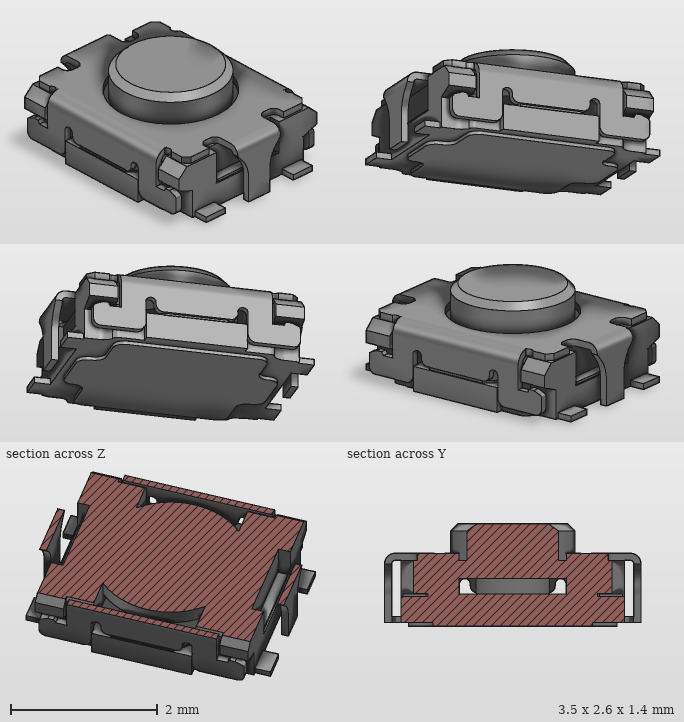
import cadquery as cq
import math


length = 3.5
width = 2.6
height = 1.4
half_length = length / 2
half_width = width / 2
base_plate_thickness = 0.05
body_bottom = base_plate_thickness
cover_top = 1.0
sheet = 0.1
cover_bottom = cover_top - sheet

body_half_x = 1.525
body_end_half_y = 1.045
body_mid_half_y = 1.19
body_mid_half_x = 1.073
body_neck = (1.15, 1.12)
body_step_x = 1.314
body_top_chamfer = 0.09
floor_z = 0.41
channel_half_x = 0.73
block_half_x = 0.715
pocket_half_y = 0.59
pocket_depth = 0.17

lug_inner_x = 1.12
lug_top_y = 1.148
lug_upper_z = 0.758
lug_lower_z = 0.578
lug_root_z = 0.478

film_thickness = 0.035
film_half_x = 1.5
film_half_y = 0.549
film_nose_half_x = 0.45
film_nose_half_y = 1.28

panel_half_x = 1.09
base_half_y = 1.097
base_half_x = 1.425
ear_half_y = 0.44
base_radius = 0.155

terminal_inner_y = 0.64
terminal_outer_y = 1.0
terminal_thickness = 0.085

cover_half_x = 1.495
cover_half_y = 1.137
cover_corner = 0.09
notch_outer_y = 0.702
notch_depth = 0.19
notch_radius = 0.11
cover_hole_diameter = 1.85

side_bend_radius = 0.2
flange_half_x = 1.073
relief_outer_x = 1.206
relief_radius = 0.066
wing_half_x = 1.47
wing_top = 0.455
wing_bottom = 0.154
wing_corner_radius = 0.1
wing_peak_z = 0.504
wing_peak_inner_x = 1.26
wing_peak_outer_x = 1.34
wing_heel_x = 1.23
wing_shoulder = (1.43, 0.467)
wing_straight_top = 0.42
window_half_x = 0.725
foot_radius = 0.115
tongue_radius = 0.1
slot_width = 0.145
slot_top = 0.65

end_bend_radius = 0.15
tab_top_half_y = 0.404
tab_half_y = 0.2
tab_straight_top = 0.43
tab_taper_end = (0.312, 0.746)

button_diameter = 1.7
button_chamfer = 0.1
button_flange_diameter = 2.1
plunger_diameter = 1.0


def block(x0, x1, y0, y1, z0, z1):
    """Axis-aligned box between two opposite corners."""
    return cq.Workplane("XY").box(x1 - x0, y1 - y0, z1 - z0, centered=False).translate((x0, y0, z0))


def centred_block(half_x, half_y, z0, z1):
    """Box centred on the Z axis."""
    return block(-half_x, half_x, -half_y, half_y, z0, z1)


def both_x(shape):
    return shape.union(shape.mirror("YZ"))


def both_y(shape):
    return shape.union(shape.mirror("XZ"))


def four_corners(shape):
    return both_y(both_x(shape))


def arc_middle(start, end, start_direction):
    """Middle point of the arc from start to end that leaves along an axis ("x" or "y")."""
    dx = end[0] - start[0]
    dy = end[1] - start[1]
    along, across = (dx, dy) if start_direction == "x" else (dy, dx)
    radius = (along**2 + across**2) / (2 * abs(across))
    half_angle = math.atan2(abs(across), abs(along))
    mid_along = math.copysign(radius * math.sin(half_angle), along)
    mid_across = math.copysign(radius * (1 - math.cos(half_angle)), across)
    if start_direction == "x":
        return (start[0] + mid_along, start[1] + mid_across)
    return (start[0] + mid_across, start[1] + mid_along)


def s_curve(sketch, start, neck, end, direction):
    """Two arcs through neck; both outer ends run along the given axis."""
    sketch = sketch.threePointArc(arc_middle(start, neck, direction), neck)
    return sketch.threePointArc(arc_middle(end, neck, direction), end)


def quarter_outline(sketch, z0, z1):
    """Close a first-quadrant outline that began at (0, 0) and extrude it to all four quadrants."""
    quarter = sketch.close().extrude(z1 - z0).translate((0, 0, z0))
    return four_corners(quarter)


def extrude_along_x(profile_yz, x0, x1):
    return cq.Workplane("YZ").polyline(profile_yz).close().extrude(x1 - x0).translate((x0, 0, 0))


def make_base_plate():
    panel = centred_block(panel_half_x, base_half_y, 0, base_plate_thickness)
    panel = panel.edges("|Z").fillet(base_radius)
    ears = centred_block(base_half_x, ear_half_y, 0, base_plate_thickness)
    ears = ears.edges("|Z").fillet(base_radius)
    fillers = four_corners(
        block(
            panel_half_x, panel_half_x + base_radius,
            ear_half_y, ear_half_y + base_radius,
            0, base_plate_thickness,
        )
    )
    hollow = cq.Workplane("XY").circle(base_radius).extrude(base_plate_thickness)
    hollow = hollow.translate((panel_half_x + base_radius, ear_half_y + base_radius, 0))
    return panel.union(ears).union(fillers.cut(four_corners(hollow)))


def make_lugs():
    profile = [
        (body_end_half_y, cover_bottom),
        (lug_top_y, cover_bottom),
        (half_width, lug_upper_z),
        (half_width, lug_lower_z),
        (body_end_half_y, lug_root_z),
    ]
    return four_corners(extrude_along_x(profile, lug_inner_x, body_half_x))


def make_lug_webs():
    """Short webs that join the lugs to the wide middle of the body, with the same underside slope."""
    underside_slope = (lug_lower_z - lug_root_z) / (half_width - body_end_half_y)
    web_bottom = lug_root_z + underside_slope * (body_mid_half_y - body_end_half_y)
    profile = [
        (body_end_half_y, cover_bottom),
        (body_mid_half_y - body_top_chamfer, cover_bottom),
        (body_mid_half_y, cover_bottom - body_top_chamfer),
        (body_mid_half_y, web_bottom),
        (body_end_half_y, lug_root_z),
    ]
    return four_corners(extrude_along_x(profile, body_mid_half_x, lug_inner_x))


def make_body():
    outline = cq.Workplane("XY").lineTo(body_half_x, 0).lineTo(body_half_x, body_end_half_y)
    step_start = (body_step_x, body_end_half_y)
    step_end = (body_mid_half_x, body_mid_half_y)
    outline = s_curve(outline.lineTo(*step_start), step_start, body_neck, step_end, "x")
    outline = outline.lineTo(0, body_mid_half_y)
    body = quarter_outline(outline, body_bottom, cover_bottom)

    slope = [
        (body_mid_half_y - body_top_chamfer, cover_bottom),
        (body_mid_half_y, cover_bottom),
        (body_mid_half_y, cover_bottom - body_top_chamfer),
    ]
    body = body.cut(both_y(extrude_along_x(slope, -body_half_x, body_half_x)))
    body = body.union(make_lugs()).union(make_lug_webs())

    body = body.cut(centred_block(channel_half_x, half_width, floor_z, cover_bottom))
    pocket = block(
        body_half_x - pocket_depth, body_half_x, -pocket_half_y, pocket_half_y, floor_z, cover_bottom
    )
    body = body.cut(both_x(pocket))

    slit_top = floor_z + film_thickness
    body = body.cut(centred_block(film_half_x, pocket_half_y, floor_z, slit_top))

    return body.union(centred_block(block_half_x, half_width, body_bottom, floor_z))


def make_film():
    film_top = floor_z + film_thickness
    strip = centred_block(film_half_x, film_half_y, floor_z, film_top)
    slope_start_x = film_nose_half_x + film_nose_half_y - film_half_y
    nose = (
        cq.Workplane("XY")
        .lineTo(slope_start_x, 0)
        .lineTo(slope_start_x, film_half_y)
        .lineTo(film_nose_half_x, film_nose_half_y)
        .lineTo(0, film_nose_half_y)
    )
    return strip.union(quarter_outline(nose, floor_z, film_top))


def make_terminals():
    terminal = block(
        body_half_x, half_length, terminal_inner_y, terminal_outer_y,
        body_bottom, body_bottom + terminal_thickness,
    )
    return four_corners(terminal)


def make_bend(plane, outer_radius, half_span, edge):
    """Quarter-round bend whose outer face ends at the given distance from the Z axis."""
    centre_u = edge - outer_radius
    centre_z = cover_top - outer_radius
    inner_radius = outer_radius - sheet
    diagonal = math.sqrt(0.5)
    return (
        cq.Workplane(plane)
        .moveTo(centre_u, cover_top)
        .threePointArc(
            (centre_u + outer_radius * diagonal, centre_z + outer_radius * diagonal), (edge, centre_z)
        )
        .lineTo(edge - sheet, centre_z)
        .threePointArc(
            (centre_u + inner_radius * diagonal, centre_z + inner_radius * diagonal),
            (centre_u, cover_bottom),
        )
        .close()
        .extrude(half_span, both=True)
    )


def make_cover_sheet():
    sheet_plate = centred_block(cover_half_x, cover_half_y, cover_bottom, cover_top)
    sheet_plate = sheet_plate.edges("|Z").chamfer(cover_corner)

    bend_start_y = half_width - side_bend_radius
    bend_zone = block(-flange_half_x, flange_half_x, bend_start_y, half_width, cover_bottom, cover_top)
    relief = block(flange_half_x, relief_outer_x, bend_start_y, half_width, cover_bottom, cover_top)
    relief = relief.edges("|Z and <Y").fillet(relief_radius)
    sheet_plate = sheet_plate.cut(both_y(bend_zone)).cut(four_corners(relief))

    tongue_end = half_length - end_bend_radius
    sheet_plate = sheet_plate.union(centred_block(tongue_end, tab_top_half_y, cover_bottom, cover_top))
    notch = block(
        cover_half_x - notch_depth, half_length, tab_top_half_y, notch_outer_y, cover_bottom, cover_top
    )
    notch = notch.edges("|Z and <X").fillet(notch_radius)
    return sheet_plate.cut(four_corners(notch))


def make_side_flange():
    """Flange on the +Y side with two hooked wings and a window with slotted corners."""
    bend_end_z = cover_top - side_bend_radius
    wing_side_bottom = (wing_half_x, wing_bottom + wing_corner_radius)
    wing_side_top = (wing_half_x, wing_straight_top)
    wing_corner = (wing_half_x - wing_corner_radius, wing_bottom)
    half = (
        cq.Workplane("XZ")
        .moveTo(0, bend_end_z)
        .lineTo(flange_half_x, bend_end_z)
        .lineTo(flange_half_x, wing_top)
        .lineTo(wing_heel_x, wing_top)
        .lineTo(wing_peak_inner_x, wing_peak_z)
        .lineTo(wing_peak_outer_x, wing_peak_z)
        .lineTo(*wing_shoulder)
        .threePointArc(arc_middle(wing_side_top, wing_shoulder, "y"), wing_side_top)
        .lineTo(*wing_side_bottom)
        .threePointArc(arc_middle(wing_side_bottom, wing_corner, "y"), wing_corner)
        .lineTo(0, wing_bottom)
        .close()
        .extrude(-sheet)
        .translate((0, half_width - sheet, 0))
    )
    flange = both_x(half)

    foot_side = (window_half_x, wing_bottom + foot_radius)
    foot_end = (window_half_x + foot_radius, wing_bottom)
    tongue_half_x = window_half_x - slot_width
    tongue_side = (tongue_half_x, wing_top + tongue_radius)
    tongue_end = (tongue_half_x - tongue_radius, wing_top)
    slot_radius = slot_width / 2
    slot_centre_x = window_half_x - slot_radius
    window = (
        cq.Workplane("XZ")
        .moveTo(0, wing_bottom)
        .lineTo(*foot_end)
        .threePointArc(arc_middle(foot_side, foot_end, "y"), foot_side)
        .lineTo(window_half_x, slot_top - slot_radius)
        .threePointArc((slot_centre_x, slot_top), (tongue_half_x, slot_top - slot_radius))
        .lineTo(*tongue_side)
        .threePointArc(arc_middle(tongue_side, tongue_end, "y"), tongue_end)
        .lineTo(0, wing_top)
        .close()
        .extrude(-half_width)
    )
    flange = flange.cut(both_x(window))
    return flange.union(make_bend("YZ", side_bend_radius, flange_half_x, half_width))


def make_end_tab():
    """Tab on the +X end that narrows along a curve to a straight leg."""
    bend_end_z = cover_top - end_bend_radius
    curve_middle = arc_middle((tab_half_y, tab_straight_top), tab_taper_end, "y")
    half = (
        cq.Workplane("YZ")
        .moveTo(0, body_bottom)
        .lineTo(tab_half_y, body_bottom)
        .lineTo(tab_half_y, tab_straight_top)
        .threePointArc(curve_middle, tab_taper_end)
        .lineTo(tab_top_half_y, bend_end_z)
        .lineTo(0, bend_end_z)
        .close()
        .extrude(sheet)
        .translate((half_length - sheet, 0, 0))
    )
    return both_y(half).union(make_bend("XZ", end_bend_radius, tab_top_half_y, half_length))


def make_cover():
    cover = make_cover_sheet().union(both_y(make_side_flange())).union(both_x(make_end_tab()))
    hole = cq.Workplane("XY").circle(cover_hole_diameter / 2).extrude(height)
    return cover.cut(hole)


def make_button():
    button = (
        cq.Workplane("XY")
        .workplane(offset=slot_top)
        .circle(button_diameter / 2)
        .extrude(height - slot_top)
        .faces(">Z")
        .chamfer(button_chamfer)
    )
    flange = (
        cq.Workplane("XY")
        .workplane(offset=slot_top)
        .circle(button_flange_diameter / 2)
        .extrude(cover_bottom - slot_top)
    )
    plunger = cq.Workplane("XY").workplane(offset=floor_z).circle(plunger_diameter / 2)
    return button.union(flange).union(plunger.extrude(slot_top - floor_z))


result = (
    make_body()
    .union(make_base_plate())
    .union(make_film())
    .union(make_terminals())
    .union(make_button())
    .union(make_cover())
)